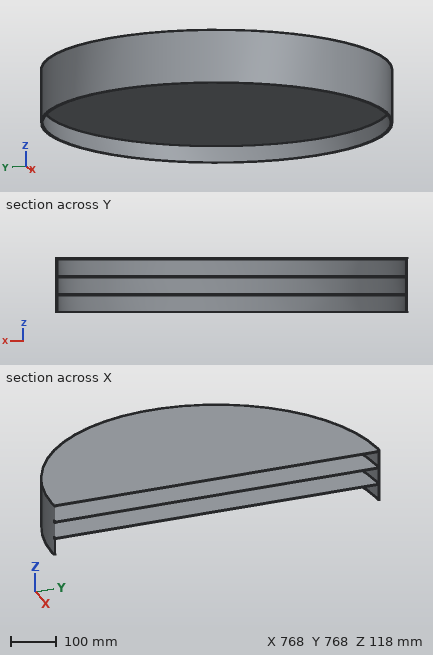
import cadquery as cq

outer_diameter = 768.0
wall_thickness = 3.0
total_height = 118.0
lid_count = 3

inner_diameter = outer_diameter - 2 * wall_thickness
plate_thickness = wall_thickness
lid_height = total_height / lid_count
cavity_height = lid_height - plate_thickness


def cavity(base_height):
    """Round space under one plate, starting at base_height."""
    return (
        cq.Workplane("XY")
        .workplane(offset=base_height)
        .circle(inner_diameter / 2)
        .extrude(cavity_height)
    )


result = cq.Workplane("XY").circle(outer_diameter / 2).extrude(total_height)

for level in range(lid_count):
    result = result.cut(cavity(level * lid_height))